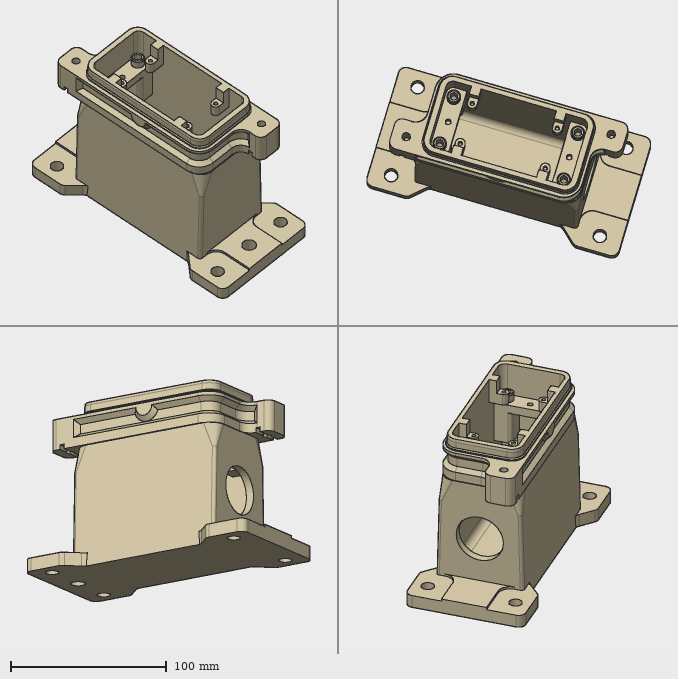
import cadquery as cq
import math

BASE_HALF_X = 84.5
BASE_HALF_Y = 40.5
BASE_THICKNESS = 8.9
BASE_CORNER_RADIUS = 5.0
EAR_INNER_X = 55.9
EAR_EDGE_RADIUS = 5.0
WAIST_HALF_X = 44.0
WAIST_HALF_Y = 29.6
WAIST_RADIUS = 8.0
CORNER_HOLE_X = 70.0
CORNER_HOLE_Y = 30.0
CORNER_HOLE_DIAMETER = 8.6
EARTH_HOLE_DIAMETER = 9.4

PAD_HEIGHT = 1.6
PAD_HALF_Y = 15.4
PAD_FLARE_RADIUS = 8.4

BODY_HALF_X = 54.7
BODY_BOTTOM_HALF_Y = 30.1
BODY_TOP_HALF_Y = 28.0
CORNER_TAPER_Z = 65.0
BODY_CORNER_RADIUS = 2.2
BODY_TOP_CORNER_RADIUS = 9.4

FLANGE_BOTTOM_Z = 82.0
FLANGE_TOP_Z = 102.7
FLANGE_HALF_X = 54.2
FLANGE_HALF_Y = 29.1
FLANGE_CORNER_RADIUS = 12.2
LUG_END_X = 72.5
LUG_INNER_Y = 8.8
LUG_CORNER_RADIUS = 5.0
LUG_ROOT_RADIUS = 8.0
LUG_HOLE_X = 63.0
LUG_HOLE_Y = 19.4
LUG_HOLE_DIAMETER = 5.2
NOTCH_WIDTH = 3.1
NOTCH_HEIGHT = 3.1

GROOVE_DEPTH = 3.2
GROOVE_BOTTOM_Z = 88.3
GROOVE_TOP_Z = 100.4
GROOVE_LOWER_BEVEL = 2.6
GROOVE_UPPER_BEVEL = 3.2
GROOVE_END_RUNOUT = 4.2
STUD_RADIUS = 6.1

PART_HEIGHT = 111.3
COLLAR_HALF_X = 51.6
COLLAR_HALF_Y = 26.1
COLLAR_CORNER_RADIUS = 8.6
COLLAR_BEVEL_HEIGHT = 2.0
COLLAR_BEVEL_WIDTH = 0.4
BEAD_PROJECTION = 0.9
BEAD_TOP_Z = 105.0
BEAD_BEVEL = 0.8

CAVITY_HALF_X = 47.3
CAVITY_HALF_Y = 22.6
CAVITY_CORNER_RADIUS = 4.7
LOWER_CAVITY_HALF_X = 49.2
FLOOR_Z = 10.2
FLOOR_FILLET = 5.1
CABLE_HOLE_DIAMETER = 32.2
CABLE_HOLE_Z = 42.0

DECK_TOP_Z = 88.5
DECK_THICKNESS = 6.0
DECK_EDGE_X = 34.7
DECK_HOLE_X = 40.6
DECK_HOLE_DIAMETER = 3.6
COLUMN_BOTTOM_Z = 60.0
COLUMN_INNER_Y = 10.5
COLUMN_EDGE_RADIUS = 2.7
POST_X = 41.6
POST_Y = 16.0
POST_DIAMETER = 8.6
POST_TOP_Z = 94.2
POST_BEVEL = 0.7
POST_BORE_DIAMETER = 4.8
POST_BORE_DEPTH = 12.0
DRILL_POINT_ANGLE = 118.0

RIB_X = 28.5
RIB_WIDTH = 6.4
RIB_BOTTOM_Z = 94.0
RIB_INNER_Y = 17.4
FOOT_TOP_Z = 101.8
FOOT_HOLE_Y = 13.6
FOOT_HOLE_DIAMETER = 2.6
FOOT_HOLE_DEPTH = 5.0

OVERCUT = 1.0
SIDES = (-1, 1)
CORNERS = [(sx, sy) for sx in SIDES for sy in SIDES]


def rounded_box(half_x, half_y, radius, bottom_z, top_z):
    box = cq.Workplane("XY").workplane(offset=bottom_z).rect(2 * half_x, 2 * half_y)
    return box.extrude(top_z - bottom_z).edges("|Z").fillet(radius)


def box_between(x_range, y_range, z_range):
    """Box between the given pairs of limits, in either order."""
    spans = [sorted(limits) for limits in (x_range, y_range, z_range)]
    sizes = [high - low for low, high in spans]
    corner = [low for low, _ in spans]
    return cq.Workplane("XY").box(*sizes, centered=False).translate(tuple(corner))


def cylinder(x, y, diameter, bottom_z, top_z):
    disc = cq.Workplane("XY").workplane(offset=bottom_z).center(x, y).circle(diameter / 2)
    return disc.extrude(top_z - bottom_z)


def half_turn(solid):
    return solid.rotate((0, 0, 0), (0, 0, 1), 180)


def make_base():
    quarter = [
        (WAIST_HALF_X, WAIST_HALF_Y),
        (EAR_INNER_X, BASE_HALF_Y),
        (BASE_HALF_X, BASE_HALF_Y),
    ]
    right = quarter + [(x, -y) for x, y in reversed(quarter)]
    outline = right + [(-x, -y) for x, y in right]
    plate = cq.Workplane("XY").polyline(outline).close().extrude(BASE_THICKNESS)
    radii = (WAIST_RADIUS, EAR_EDGE_RADIUS, BASE_CORNER_RADIUS)
    for (x, y), radius in zip(quarter, radii):
        for sx, sy in CORNERS:
            edge = cq.selectors.NearestToPointSelector((sx * x, sy * y, BASE_THICKNESS / 2))
            plate = plate.edges(edge).fillet(radius)
    return plate.union(make_pad())


def make_pad():
    pad_top_z = BASE_THICKNESS + PAD_HEIGHT
    flare_x = BODY_HALF_X + PAD_FLARE_RADIUS
    flare_y = PAD_HALF_Y + PAD_FLARE_RADIUS
    strip = box_between((-BASE_HALF_X, BASE_HALF_X), (-PAD_HALF_Y, PAD_HALF_Y), (0, pad_top_z))
    flare = box_between((-flare_x, flare_x), (-flare_y, flare_y), (0, pad_top_z))
    for sx, sy in CORNERS:
        flare = flare.cut(cylinder(sx * flare_x, sy * flare_y, 2 * PAD_FLARE_RADIUS, 0, pad_top_z))
    return strip.union(flare)


def rounded_section(half_y, radius, z):
    """Wire of the rounded body outline at height z."""
    outline = cq.Sketch().rect(2 * BODY_HALF_X, 2 * half_y).vertices().fillet(radius)
    return outline.moved(cq.Location(cq.Vector(0, 0, z))).faces().val().outerWire()


def make_body():
    draft = (BODY_BOTTOM_HALF_Y - BODY_TOP_HALF_Y) / FLANGE_BOTTOM_Z
    taper_half_y = BODY_BOTTOM_HALF_Y - draft * CORNER_TAPER_Z
    bottom = rounded_section(BODY_BOTTOM_HALF_Y, BODY_CORNER_RADIUS, 0)
    middle = rounded_section(taper_half_y, BODY_CORNER_RADIUS, CORNER_TAPER_Z)
    top = rounded_section(BODY_TOP_HALF_Y, BODY_TOP_CORNER_RADIUS, FLANGE_BOTTOM_Z)
    lower = cq.Workplane(cq.Solid.makeLoft([bottom, middle], True))
    upper = cq.Workplane(cq.Solid.makeLoft([middle, top], True))
    return lower.union(upper)


def trace_flange_side(path, sign):
    """Follow one long side, its round corner and the root of the far lug; sign -1 turns it by 180 degrees."""
    straight_x = FLANGE_HALF_X - FLANGE_CORNER_RADIUS
    corner_y = FLANGE_HALF_Y - FLANGE_CORNER_RADIUS
    root_y = LUG_INNER_Y - LUG_ROOT_RADIUS
    root_x = FLANGE_HALF_X + LUG_ROOT_RADIUS
    path = path.lineTo(sign * straight_x, -sign * FLANGE_HALF_Y)
    path = path.tangentArcPoint((sign * FLANGE_HALF_X, -sign * corner_y), relative=False)
    path = path.lineTo(sign * FLANGE_HALF_X, sign * root_y)
    return path.tangentArcPoint((sign * root_x, sign * LUG_INNER_Y), relative=False)


def make_flange():
    lug_x = LUG_END_X - LUG_CORNER_RADIUS
    inner_y = LUG_INNER_Y + LUG_CORNER_RADIUS
    outer_y = FLANGE_HALF_Y - LUG_CORNER_RADIUS
    outline = cq.Workplane("XY").workplane(offset=FLANGE_BOTTOM_Z).moveTo(-lug_x, -FLANGE_HALF_Y)
    for sign in (1, -1):
        outline = trace_flange_side(outline, sign)
        outline = outline.lineTo(sign * lug_x, sign * LUG_INNER_Y)
        outline = outline.tangentArcPoint((sign * LUG_END_X, sign * inner_y), relative=False)
        outline = outline.lineTo(sign * LUG_END_X, sign * outer_y)
        outline = outline.tangentArcPoint((sign * lug_x, sign * FLANGE_HALF_Y), relative=False)
    flange = outline.close().extrude(FLANGE_TOP_Z - FLANGE_BOTTOM_Z)
    groove = make_groove_cutter()
    return flange.cut(groove).cut(half_turn(groove))


def make_groove_cutter():
    """Bevelled groove along one long side, around the corner and into the far lug root."""
    mouth_y = -FLANGE_HALF_Y
    floor_y = mouth_y + GROOVE_DEPTH
    outside_y = mouth_y - OVERCUT
    section = [
        (outside_y, GROOVE_BOTTOM_Z),
        (mouth_y, GROOVE_BOTTOM_Z),
        (floor_y, GROOVE_BOTTOM_Z + GROOVE_LOWER_BEVEL),
        (floor_y, GROOVE_TOP_Z - GROOVE_UPPER_BEVEL),
        (mouth_y, GROOVE_TOP_Z),
        (outside_y, GROOVE_TOP_Z),
    ]
    path = cq.Workplane("XY").moveTo(-FLANGE_HALF_X, mouth_y)
    path = trace_flange_side(path, 1)
    start = cq.Workplane("YZ", origin=(-FLANGE_HALF_X, 0, 0))
    groove = start.polyline(section).close().sweep(path)

    end_x = FLANGE_HALF_X + LUG_ROOT_RADIUS
    end_floor_y = LUG_INNER_Y + GROOVE_DEPTH
    near_slope = [
        (-FLANGE_HALF_X, mouth_y),
        (-FLANGE_HALF_X + GROOVE_DEPTH, floor_y),
        (-FLANGE_HALF_X, floor_y),
    ]
    far_slope = [(end_x, LUG_INNER_Y), (end_x, end_floor_y), (end_x - GROOVE_END_RUNOUT, end_floor_y)]
    for triangle in (near_slope, far_slope):
        wedge = cq.Workplane("XY").polyline(triangle).close().extrude(FLANGE_TOP_Z)
        groove = groove.cut(wedge)

    stud = cq.Workplane("XZ", origin=(0, mouth_y, GROOVE_TOP_Z)).circle(STUD_RADIUS)
    stud_base_radius = STUD_RADIUS + GROOVE_DEPTH
    stud = stud.workplane(offset=-GROOVE_DEPTH).circle(stud_base_radius).loft()
    return groove.cut(stud)


def make_collar():
    collar = rounded_box(COLLAR_HALF_X, COLLAR_HALF_Y, COLLAR_CORNER_RADIUS, FLANGE_TOP_Z, PART_HEIGHT)
    collar = collar.faces(">Z").chamfer(COLLAR_BEVEL_HEIGHT, COLLAR_BEVEL_WIDTH)
    bead = rounded_box(COLLAR_HALF_X + BEAD_PROJECTION, COLLAR_HALF_Y + BEAD_PROJECTION,
                       COLLAR_CORNER_RADIUS + BEAD_PROJECTION, FLANGE_TOP_Z, BEAD_TOP_Z)
    bead = bead.faces("<Z or >Z").chamfer(BEAD_BEVEL)
    return collar.union(bead)


def make_cavity():
    deck_bottom_z = DECK_TOP_Z - DECK_THICKNESS
    upper = rounded_box(CAVITY_HALF_X, CAVITY_HALF_Y, CAVITY_CORNER_RADIUS, DECK_TOP_Z, PART_HEIGHT)
    lower = box_between((-LOWER_CAVITY_HALF_X, LOWER_CAVITY_HALF_X),
                        (-CAVITY_HALF_Y, CAVITY_HALF_Y), (FLOOR_Z, DECK_TOP_Z))
    lower = lower.edges("|X and <Z").fillet(FLOOR_FILLET)
    for sx in SIDES:
        ends = (sx * DECK_EDGE_X, sx * (LOWER_CAVITY_HALF_X + OVERCUT))
        lower = lower.cut(box_between(ends, (-CAVITY_HALF_Y, CAVITY_HALF_Y), (deck_bottom_z, DECK_TOP_Z)))
    return upper.union(lower)


def make_deck_columns():
    """Corner columns under the decks and the screw posts rising through them."""
    deck_bottom_z = DECK_TOP_Z - DECK_THICKNESS
    columns = cq.Workplane("XY")
    for sx, sy in CORNERS:
        column = box_between((sx * DECK_EDGE_X, sx * (LOWER_CAVITY_HALF_X + OVERCUT)),
                             (sy * COLUMN_INNER_Y, sy * (CAVITY_HALF_Y + OVERCUT)),
                             (COLUMN_BOTTOM_Z, deck_bottom_z))
        inner_edge = cq.selectors.NearestToPointSelector(
            (sx * DECK_EDGE_X, sy * COLUMN_INNER_Y, (COLUMN_BOTTOM_Z + deck_bottom_z) / 2))
        column = column.edges(inner_edge).fillet(COLUMN_EDGE_RADIUS)
        post = cylinder(sx * POST_X, sy * POST_Y, POST_DIAMETER, DECK_TOP_Z, POST_TOP_Z)
        post = post.faces(">Z").chamfer(POST_BEVEL)
        columns = columns.union(column).union(post)
    return columns


def make_ribs():
    ribs = cq.Workplane("XY")
    for sx, sy in CORNERS:
        x_range = (sx * RIB_X - RIB_WIDTH / 2, sx * RIB_X + RIB_WIDTH / 2)
        wall_y = sy * (CAVITY_HALF_Y + OVERCUT)
        rib = box_between(x_range, (sy * RIB_INNER_Y, wall_y), (RIB_BOTTOM_Z, PART_HEIGHT))
        foot = box_between(x_range, (sy * FOOT_HOLE_Y, wall_y), (RIB_BOTTOM_Z, FOOT_TOP_Z))
        foot_end = cylinder(sx * RIB_X, sy * FOOT_HOLE_Y, RIB_WIDTH, RIB_BOTTOM_Z, FOOT_TOP_Z)
        ribs = ribs.union(rib).union(foot).union(foot_end)
    return ribs


def drilled_bore(x, y):
    """Blind bore with a conical drill point, opening at the top of a screw post."""
    radius = POST_BORE_DIAMETER / 2
    point_depth = radius / math.tan(math.radians(DRILL_POINT_ANGLE / 2))
    half_section = [
        (0, 0),
        (radius, 0),
        (radius, -POST_BORE_DEPTH),
        (0, -POST_BORE_DEPTH - point_depth),
    ]
    bore = cq.Workplane("XZ").polyline(half_section).close().revolve(360, (0, 0), (0, 1))
    return bore.translate((x, y, POST_TOP_Z))


def make_hole_cutters():
    holes = cylinder(CORNER_HOLE_X, 0, EARTH_HOLE_DIAMETER, 0, BASE_THICKNESS + PAD_HEIGHT)
    for sx, sy in CORNERS:
        corner_x = sx * CORNER_HOLE_X
        holes = holes.union(cylinder(corner_x, sy * CORNER_HOLE_Y, CORNER_HOLE_DIAMETER, 0, BASE_THICKNESS))
        holes = holes.union(drilled_bore(sx * POST_X, sy * POST_Y))
        holes = holes.union(cylinder(sx * RIB_X, sy * FOOT_HOLE_Y, FOOT_HOLE_DIAMETER,
                                     FOOT_TOP_Z - FOOT_HOLE_DEPTH, FOOT_TOP_Z))
    for sign in SIDES:
        lug_x = sign * LUG_HOLE_X
        holes = holes.union(cylinder(lug_x, sign * LUG_HOLE_Y, LUG_HOLE_DIAMETER,
                                     FLANGE_BOTTOM_Z, FLANGE_TOP_Z))
        holes = holes.union(cylinder(sign * DECK_HOLE_X, 0, DECK_HOLE_DIAMETER,
                                     DECK_TOP_Z - DECK_THICKNESS, DECK_TOP_Z))
        holes = holes.union(box_between((lug_x - NOTCH_WIDTH / 2, lug_x + NOTCH_WIDTH / 2),
                                        (-FLANGE_HALF_Y, FLANGE_HALF_Y),
                                        (FLANGE_BOTTOM_Z, FLANGE_BOTTOM_Z + NOTCH_HEIGHT)))
    cable_hole = cq.Workplane("YZ", origin=(-BODY_HALF_X - OVERCUT, 0, CABLE_HOLE_Z))
    cable_hole = cable_hole.circle(CABLE_HOLE_DIAMETER / 2).extrude(BODY_HALF_X - DECK_EDGE_X)
    return holes.union(cable_hole)


shell = make_base().union(make_body()).union(make_flange()).union(make_collar())
shell = shell.cut(make_cavity())
result = shell.union(make_deck_columns()).union(make_ribs()).cut(make_hole_cutters())